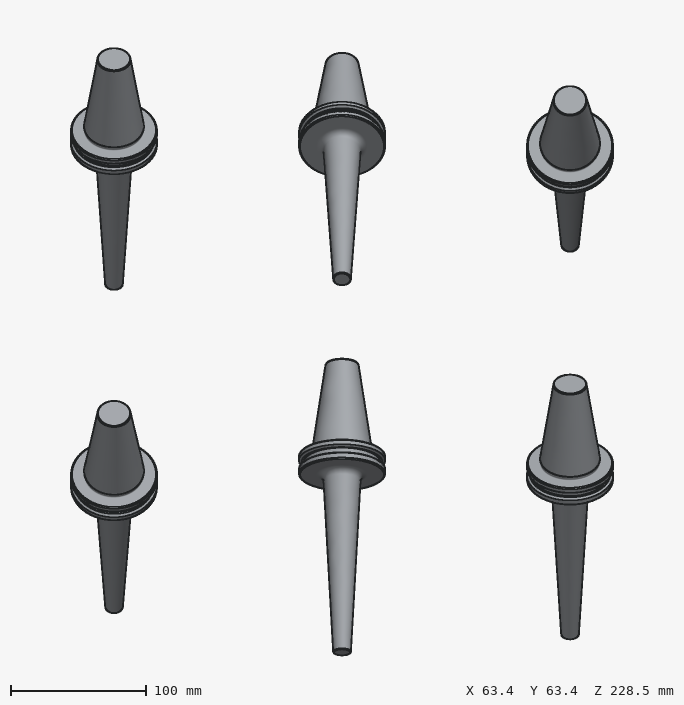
import cadquery as cq
import math


total_length = 228.5
shank_length = 68.3
gauge_radius = 22.2
taper_per_diameter = 7 / 24
shank_end_chamfer = 1.0
shank_end_radius = gauge_radius - shank_length * taper_per_diameter / 2
shank_chamfer_top_radius = shank_end_radius - shank_end_chamfer / 2
shank_chamfer_base_radius = shank_end_radius + shank_end_chamfer * taper_per_diameter / 2

relief_radius = 21.7
relief_step = 0.7
relief_fillet = 0.7

flange_radius = 31.7
flange_top = -3.7
flange_bottom = -19.2
flange_chamfer = 1.0
groove_center = -11.2
groove_floor_radius = 28.0
groove_half_width = 2.0
groove_bevel_width = 2.0
groove_bevel_height = 1.4
groove_mouth_half_width = groove_half_width + groove_bevel_height

nose_root_radius = 13.7
nose_fillet = 5.0
tip_radius = 6.6
tip_chamfer = 0.7
tip_z = shank_length - total_length

fillet_diagonal = 1 - math.sqrt(0.5)


def half_profile():
    """Closed outline in the XZ plane, traced from the shank end down to the tip."""
    return (
        cq.Workplane("XZ")
        .moveTo(0, shank_length)
        .lineTo(shank_chamfer_top_radius, shank_length)
        .lineTo(shank_chamfer_base_radius, shank_length - shank_end_chamfer)
        .lineTo(gauge_radius, 0)
        .lineTo(relief_radius, -relief_step)
        .lineTo(relief_radius, flange_top + relief_fillet)
        .threePointArc(
            (relief_radius + relief_fillet * fillet_diagonal,
             flange_top + relief_fillet * fillet_diagonal),
            (relief_radius + relief_fillet, flange_top),
        )
        .lineTo(flange_radius - flange_chamfer, flange_top)
        .lineTo(flange_radius, flange_top - flange_chamfer)
        .lineTo(flange_radius, groove_center + groove_mouth_half_width)
        .lineTo(flange_radius - groove_bevel_width, groove_center + groove_half_width)
        .lineTo(groove_floor_radius, groove_center + groove_half_width)
        .lineTo(groove_floor_radius, groove_center - groove_half_width)
        .lineTo(flange_radius - groove_bevel_width, groove_center - groove_half_width)
        .lineTo(flange_radius, groove_center - groove_mouth_half_width)
        .lineTo(flange_radius, flange_bottom + flange_chamfer)
        .lineTo(flange_radius - flange_chamfer, flange_bottom)
        .lineTo(nose_root_radius + nose_fillet, flange_bottom)
        .threePointArc(
            (nose_root_radius + nose_fillet * fillet_diagonal,
             flange_bottom - nose_fillet * fillet_diagonal),
            (nose_root_radius, flange_bottom - nose_fillet),
        )
        .lineTo(tip_radius, tip_z + tip_chamfer)
        .lineTo(tip_radius - tip_chamfer, tip_z)
        .lineTo(0, tip_z)
        .close()
    )


result = half_profile().revolve(360, (0, 0, 0), (0, 1, 0))